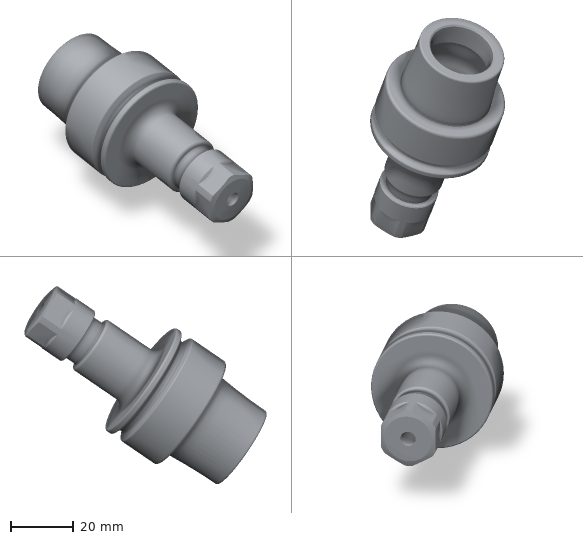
import cadquery as cq
import math


taper_end = 18.3
flange_start = 20.0
flange_end = 40.0
shank_end = 60.2
nut_start = 64.7
flats_start = 72.1
total_length = 80.0

taper_small_diameter = 28.5
taper_large_diameter = 30.2
collar_diameter = 30.6
flange_diameter = 40.0
shank_root_diameter = 25.5
shank_diameter = 19.5
neck_diameter = 15.8
nut_diameter = shank_diameter
nut_face_diameter = 15.5

taper_sag = 0.2
taper_nose_fillet = 0.6
collar_ramp_length = 1.2

flange_front_fillet = 1.0
flange_back_fillet = 0.6
shank_end_fillet = 1.0
neck_fillet = 0.4
nut_back_chamfer = 0.3
nut_face_chamfer_length = 0.6

groove_floor_diameter = 34.8
groove_floor_start = 35.1
groove_floor_end = 36.6
groove_wall_angle = 27.0
groove_floor_fillet = 0.6
groove_edge_fillet = 0.6

flat_count = 6
across_flats = 17.9

mouth_diameter = 21.9
bore_diameter = 21.0
undercut_diameter = 25.5
floor_diameter = 19.5
pocket_mouth_diameter = 13.0
pocket_diameter = 11.0
hole_mouth_diameter = 5.9
hole_diameter = 5.0
undercut_start = 8.0
floor_depth = 18.8
pocket_depth = 32.0


def revolve_about_x(profile):
    return profile.close().revolve(360, (0, 0, 0), (1, 0, 0))


def box_around_circle(x, radius, margin):
    return cq.selectors.BoxSelector(
        (x - abs(margin), -radius - margin, -radius - margin),
        (x + abs(margin), radius + margin, radius + margin),
        boundingbox=True,
    )


def fillet_circle(solid, x, diameter, fillet_radius):
    """Round the circular edge of the given diameter lying in the plane at x."""
    margin = 0.04
    not_larger = box_around_circle(x, diameter / 2, margin)
    smaller = box_around_circle(x, diameter / 2, -margin)
    return solid.edges(not_larger - smaller).fillet(fillet_radius)


def make_body():
    """Solid outer shape, still without groove, wrench flats and rounded edges."""
    taper_middle_radius = (taper_small_diameter + taper_large_diameter) / 4 - taper_sag
    root_fillet = (shank_root_diameter - shank_diameter) / 2
    root_setback = root_fillet * (1 - math.sqrt(0.5))
    profile = (
        cq.Workplane("XY")
        .lineTo(0, taper_small_diameter / 2)
        .threePointArc((taper_end / 2, taper_middle_radius), (taper_end, taper_large_diameter / 2))
        .lineTo(taper_end + collar_ramp_length, taper_large_diameter / 2)
        .lineTo(flange_start, collar_diameter / 2)
        .lineTo(flange_start, flange_diameter / 2)
        .lineTo(flange_end, flange_diameter / 2)
        .lineTo(flange_end, shank_root_diameter / 2)
        .threePointArc(
            (flange_end + root_setback, shank_diameter / 2 + root_setback),
            (flange_end + root_fillet, shank_diameter / 2),
        )
        .lineTo(shank_end, shank_diameter / 2)
        .lineTo(shank_end, neck_diameter / 2)
        .lineTo(nut_start, neck_diameter / 2)
        .lineTo(nut_start, nut_diameter / 2 - nut_back_chamfer)
        .lineTo(nut_start + nut_back_chamfer, nut_diameter / 2)
        .lineTo(total_length - nut_face_chamfer_length, nut_diameter / 2)
        .lineTo(total_length, nut_face_diameter / 2)
        .lineTo(total_length, 0)
    )
    return revolve_about_x(profile)


def round_outer_edges(solid):
    solid = fillet_circle(solid, 0, taper_small_diameter, taper_nose_fillet)
    solid = fillet_circle(solid, flange_start, flange_diameter, flange_front_fillet)
    solid = fillet_circle(solid, flange_end, flange_diameter, flange_back_fillet)
    solid = fillet_circle(solid, shank_end, shank_diameter, shank_end_fillet)
    return fillet_circle(solid, shank_end, neck_diameter, neck_fillet)


def cut_groove(solid):
    """V groove with rounded floor corners and rounded outer edges."""
    depth = (flange_diameter - groove_floor_diameter) / 2
    wall_run = depth * math.tan(math.radians(groove_wall_angle))
    groove_start = groove_floor_start - wall_run
    groove_end = groove_floor_end + wall_run
    profile = (
        cq.Workplane("XY")
        .moveTo(groove_floor_start, groove_floor_diameter / 2)
        .lineTo(groove_floor_end, groove_floor_diameter / 2)
        .lineTo(groove_end, flange_diameter / 2)
        .lineTo(groove_start, flange_diameter / 2)
    )
    solid = solid.cut(revolve_about_x(profile))
    for edge in (groove_start, groove_end):
        solid = fillet_circle(solid, edge, flange_diameter, groove_edge_fillet)
    for corner in (groove_floor_start, groove_floor_end):
        solid = fillet_circle(solid, corner, groove_floor_diameter, groove_floor_fillet)
    return solid


def cut_wrench_flats(solid):
    """Mill a hexagon on the nut; each flat runs out on a 45 degree cone."""
    across_corners = across_flats / math.cos(math.pi / flat_count)
    hexagon = (
        cq.Workplane("YZ")
        .polygon(flat_count, across_corners)
        .extrude(total_length)
        .rotate((0, 0, 0), (1, 0, 0), 180 / flat_count)
    )
    flats_length = total_length - flats_start
    ring_profile = (
        cq.Workplane("XY")
        .moveTo(flats_start, nut_diameter / 2)
        .lineTo(flats_start, across_corners / 2)
        .lineTo(total_length, across_corners / 2)
        .lineTo(total_length, nut_diameter / 2 - flats_length)
    )
    return solid.cut(revolve_about_x(ring_profile).cut(hexagon))


def make_bore():
    """Stepped through bore: undercut chamber, pocket and hole, with 45 degree chamfers."""
    mouth_chamfer = (mouth_diameter - bore_diameter) / 2
    floor_fillet = (undercut_diameter - floor_diameter) / 2
    floor_setback = floor_fillet * (1 - math.sqrt(0.5))
    pocket_chamfer = (pocket_mouth_diameter - pocket_diameter) / 2
    hole_chamfer = (hole_mouth_diameter - hole_diameter) / 2
    profile = (
        cq.Workplane("XY")
        .lineTo(0, mouth_diameter / 2)
        .lineTo(mouth_chamfer, bore_diameter / 2)
        .lineTo(undercut_start, bore_diameter / 2)
        .lineTo(undercut_start, undercut_diameter / 2)
        .lineTo(floor_depth - floor_fillet, undercut_diameter / 2)
        .threePointArc(
            (floor_depth - floor_setback, undercut_diameter / 2 - floor_setback),
            (floor_depth, floor_diameter / 2),
        )
        .lineTo(floor_depth, pocket_mouth_diameter / 2)
        .lineTo(floor_depth + pocket_chamfer, pocket_diameter / 2)
        .lineTo(pocket_depth, pocket_diameter / 2)
        .lineTo(pocket_depth, hole_mouth_diameter / 2)
        .lineTo(pocket_depth + hole_chamfer, hole_diameter / 2)
        .lineTo(total_length, hole_diameter / 2)
        .lineTo(total_length, 0)
    )
    return revolve_about_x(profile)


body = round_outer_edges(make_body())
body = cut_groove(body)
body = cut_wrench_flats(body)
result = body.cut(make_bore())